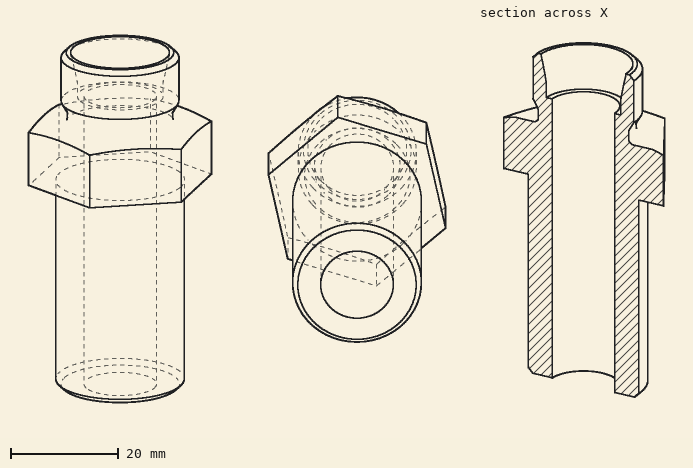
import cadquery as cq
import math

total_length = 65
edge_chamfer = 1.0

tube_diameter = 24.0
bore_diameter = 13.5

across_flats = 30.0
hex_bottom = 40.05
hex_top = 51.0
hex_face_diameter = 29.9
hex_chamfer_angle = 15

collar_diameter = 22.0
collar_bottom = 55.6
neck_diameter = 19.7
neck_cone_angle = 30
neck_fillet = 1.0

cone_mouth_diameter = 18.4
socket_diameter = 16.0
cone_half_angle = 12
socket_depth = 8.5


def tube_and_collar():
    """Turned outer body, from the tube stub up to the collar."""
    tube_radius = tube_diameter / 2
    neck_radius = neck_diameter / 2
    collar_radius = collar_diameter / 2
    cone_angle = math.radians(neck_cone_angle)
    cone_end_radius = neck_radius + neck_fillet * (1 - math.cos(cone_angle))
    cone_end = collar_bottom - (collar_radius - cone_end_radius) / math.tan(cone_angle)
    neck_top = cone_end - neck_fillet * math.sin(cone_angle)
    return (
        cq.Workplane("XZ")
        .lineTo(tube_radius - edge_chamfer, 0)
        .lineTo(tube_radius, edge_chamfer)
        .lineTo(tube_radius, hex_top)
        .lineTo(neck_radius + neck_fillet, hex_top)
        .radiusArc((neck_radius, hex_top + neck_fillet), neck_fillet)
        .lineTo(neck_radius, neck_top)
        .radiusArc((cone_end_radius, cone_end), neck_fillet)
        .lineTo(collar_radius, collar_bottom)
        .lineTo(collar_radius, total_length - edge_chamfer)
        .lineTo(collar_radius - edge_chamfer, total_length)
        .lineTo(0, total_length)
        .close()
        .revolve(360, (0, 0), (0, 1))
    )


def hexagon():
    """Hexagon with corners on the Y axis and its top corners turned off conically."""
    corner_diameter = across_flats / math.cos(math.radians(30))
    prism = (
        cq.Workplane("XY")
        .workplane(offset=hex_bottom)
        .polygon(6, corner_diameter)
        .extrude(hex_top - hex_bottom)
        .rotate((0, 0, 0), (0, 0, 1), 30)
    )
    face_radius = hex_face_diameter / 2
    corner_radius = corner_diameter / 2
    corner_drop = (corner_radius - face_radius) * math.tan(math.radians(hex_chamfer_angle))
    turned_envelope = (
        cq.Workplane("XZ")
        .moveTo(0, hex_bottom)
        .lineTo(corner_radius, hex_bottom)
        .lineTo(corner_radius, hex_top - corner_drop)
        .lineTo(face_radius, hex_top)
        .lineTo(0, hex_top)
        .close()
        .revolve(360, (0, 0), (0, 1))
    )
    return prism.intersect(turned_envelope)


def stepped_bore():
    """Through bore opening into a cylindrical socket and a sealing cone."""
    mouth_radius = cone_mouth_diameter / 2
    socket_radius = socket_diameter / 2
    bore_radius = bore_diameter / 2
    cone_depth = (mouth_radius - socket_radius) / math.tan(math.radians(cone_half_angle))
    return (
        cq.Workplane("XZ")
        .lineTo(bore_radius, 0)
        .lineTo(bore_radius, total_length - socket_depth)
        .lineTo(socket_radius, total_length - socket_depth)
        .lineTo(socket_radius, total_length - cone_depth)
        .lineTo(mouth_radius, total_length)
        .lineTo(0, total_length)
        .close()
        .revolve(360, (0, 0), (0, 1))
    )


result = tube_and_collar().union(hexagon()).cut(stepped_bore())